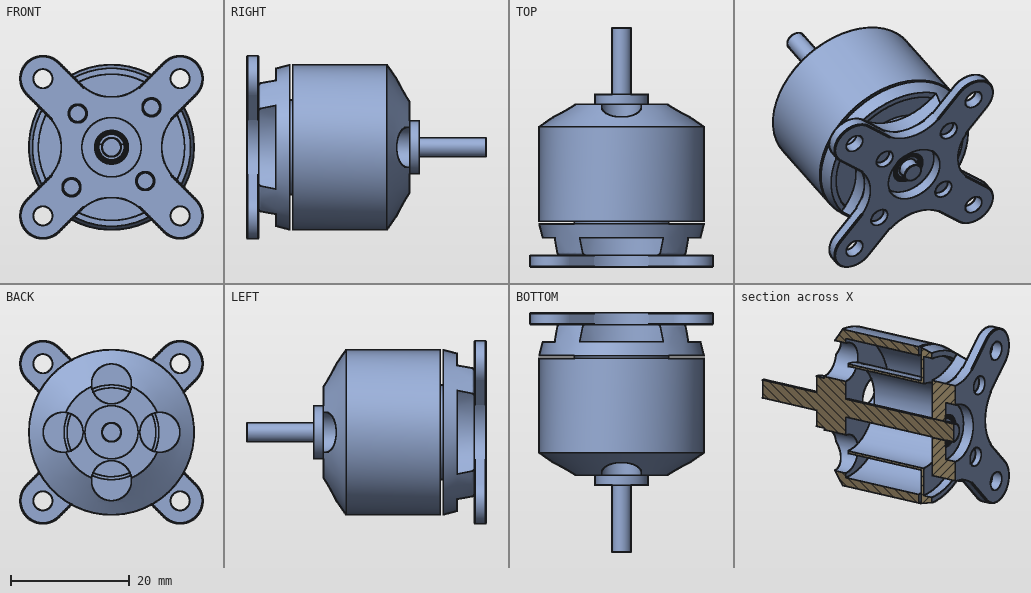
import cadquery as cq
import math

overall_length = 40.4
overall_width = 30.9

plate_thickness = 2.0
arm_half_width = 3.88
arm_chamfer = 0.15
plate_waist = 8.5
scallop_radius = 7.4
mount_hole_diameter = 3.2
plate_bore_diameter = 10.0

screw_hole_diameter = 3.2
screw_tip_diameter = 2.75
screw_tip_y = 1.0
inner_screw_offset = 5.7
outer_screw_offset = 6.75

spider_top_y = 4.93
spider_scallop_radius = 10.25
base_edge_fillet = 0.6
base_top_y = 7.27
base_top_radius = 13.95
ring_bottom_radius = 13.35
ring_inner_diameter = 24.7
floor_y = 6.65
tube_outer_diameter = 16.0
tube_inner_diameter = 15.0
groove_outer_diameters = (5.7, 5.45)
groove_inner_diameter = 4.95
groove_depth = 0.12
clip_recess_diameter = 4.45

gap = 0.45
bell_diameter = 27.9
cap_start_y = 22.9
cone_start_y = 23.65
cone_end_y = 27.47
cone_end_radius = 8.4
vent_diameter = 6.75
vent_offset = 8.15
collar_diameter = 8.95
collar_end_y = 29.13
shaft_diameter = 3.27
shaft_start_y = 0.35
shaft_chamfer = 0.1
clip_diameter = 4.3
clip_thickness = 0.15
clip_opening_z = 0.53

root_two = math.sqrt(2)
mount_hole_offset = overall_width / 2 - arm_half_width
arm_pair_length = 2 * (root_two * mount_hole_offset + arm_half_width)
scallop_drop = plate_waist + scallop_radius - root_two * arm_half_width
scallop_start = (scallop_drop - math.sqrt(2 * scallop_radius**2 - scallop_drop**2)) / 2
scallop_end = scallop_start + root_two * arm_half_width
taper = (base_top_radius - ring_bottom_radius) / (base_top_y - spider_top_y)
base_bottom_radius = base_top_radius - taper * (base_top_y - plate_thickness)
bell_start_y = base_top_y + gap
tube_end_y = cap_start_y - gap
quarter_turns = (0, 90, 180, 270)


def sketch_at(y):
    """Workplane across the motor axis at height y, with local axes along X and Z."""
    return cq.Workplane("XZ", origin=(0, y, 0))


def cylinder(diameter, start_y, end_y, centers=((0, 0),)):
    """Cylinders along Y between two heights, one for each (x, z) centre."""
    return sketch_at(start_y).pushPoints(centers).circle(diameter / 2).extrude(start_y - end_y)


def turned(profile):
    """Turn a closed outline of (radius, y) points about the Y axis."""
    return cq.Workplane("XY").polyline(profile).close().revolve(360, (0, 0, 0), (0, 1, 0))


def make_arm_pair(angle):
    """Two opposite arms with rounded tips and chamfered edges."""
    arms = sketch_at(0).slot2D(arm_pair_length, 2 * arm_half_width, angle).extrude(-plate_thickness)
    return arms.faces("<Y or >Y").chamfer(arm_chamfer)


def make_plate():
    plate = sketch_at(0).moveTo(scallop_end, scallop_start)
    for turn in quarter_turns:
        cosine = round(math.cos(math.radians(turn)))
        sine = round(math.sin(math.radians(turn)))

        def rotated(x, z):
            return (x * cosine - z * sine, x * sine + z * cosine)

        plate = plate.lineTo(*rotated(scallop_start, scallop_end))
        plate = plate.threePointArc(
            rotated(0, plate_waist), rotated(-scallop_start, scallop_end)
        )
    plate = plate.close().extrude(-plate_thickness)

    for angle in (45, 135):
        plate = plate.union(make_arm_pair(angle))

    mount_centers = [
        (x, z)
        for x in (-mount_hole_offset, mount_hole_offset)
        for z in (-mount_hole_offset, mount_hole_offset)
    ]
    plate = plate.cut(cylinder(mount_hole_diameter, 0, plate_thickness, mount_centers))
    return plate.cut(cylinder(plate_bore_diameter, 0, plate_thickness))


def cut_screw_recesses(body):
    """Cut blind screw holes, each leaving the chamfered tip of its screw."""
    centers = (
        (-inner_screw_offset, inner_screw_offset),
        (inner_screw_offset, -inner_screw_offset),
        (-outer_screw_offset, -outer_screw_offset),
        (outer_screw_offset, outer_screw_offset),
    )
    tip_chamfer = (screw_hole_diameter - screw_tip_diameter) / 2
    hole_bottom_y = screw_tip_y + tip_chamfer
    holes = cylinder(screw_hole_diameter, 0, hole_bottom_y, centers)
    tip = turned([
        (0, screw_tip_y),
        (screw_tip_diameter / 2, screw_tip_y),
        (screw_hole_diameter / 2, hole_bottom_y),
        (0, hole_bottom_y),
    ])
    recesses = holes
    for x, z in centers:
        recesses = recesses.cut(tip.translate((x, 0, z)))
    return body.cut(recesses)


def make_base():
    """Tapered base: four solid legs below a ring whose floor carries the central tube."""
    base = turned([
        (0, plate_thickness),
        (base_bottom_radius, plate_thickness),
        (base_top_radius, base_top_y),
        (tube_outer_diameter / 2, base_top_y),
        (tube_outer_diameter / 2, tube_end_y),
        (tube_inner_diameter / 2, tube_end_y),
        (tube_inner_diameter / 2, floor_y),
        (ring_inner_diameter / 2, floor_y),
        (ring_inner_diameter / 2, spider_top_y),
        (0, spider_top_y),
    ])
    base = base.faces("<Y").edges().fillet(base_edge_fillet)
    center = plate_waist + spider_scallop_radius
    centers = ((center, 0), (0, center), (-center, 0), (0, -center))
    return base.cut(cylinder(2 * spider_scallop_radius, plate_thickness, spider_top_y, centers))


def make_stator():
    stator = make_plate().union(make_base())
    stator = cut_screw_recesses(stator)
    groove_bottom_y = plate_thickness + groove_depth
    groove = turned([
        (groove_inner_diameter / 2, plate_thickness),
        (groove_outer_diameters[0] / 2, plate_thickness),
        (groove_outer_diameters[1] / 2, groove_bottom_y),
        (groove_inner_diameter / 2, groove_bottom_y),
    ])
    clip_recess = cylinder(clip_recess_diameter, plate_thickness, plate_thickness + clip_thickness)
    return stator.cut(groove).cut(clip_recess).cut(cylinder(shaft_diameter, 0, spider_top_y))


def make_rotor():
    can_inner_radius = ring_inner_diameter / 2
    can = cylinder(bell_diameter, bell_start_y, cap_start_y)
    can = can.cut(cylinder(2 * can_inner_radius, bell_start_y, cap_start_y))
    cap = turned([
        (0, cap_start_y),
        (bell_diameter / 2, cap_start_y),
        (bell_diameter / 2, cone_start_y),
        (cone_end_radius, cone_end_y),
        (0, cone_end_y),
    ])
    vent_centers = ((vent_offset, 0), (0, vent_offset), (-vent_offset, 0), (0, -vent_offset))
    cap = cap.cut(cylinder(vent_diameter, cap_start_y, cone_end_y, vent_centers))
    collar = cylinder(collar_diameter, cone_end_y, collar_end_y)
    shaft = cylinder(shaft_diameter, shaft_start_y, overall_length)
    shaft = shaft.faces("<Y or >Y").chamfer(shaft_chamfer)

    clip = cylinder(clip_diameter, plate_thickness, plate_thickness + clip_thickness)
    opening = (
        sketch_at(plate_thickness)
        .moveTo(0, clip_opening_z + clip_diameter / 2)
        .rect(2 * clip_diameter, clip_diameter)
        .extrude(-clip_thickness)
    )
    return can.union(cap).union(collar).union(clip.cut(opening)).union(shaft)


stator = make_stator()
rotor = make_rotor()
result = cq.Compound.makeCompound([stator.val(), rotor.val()])